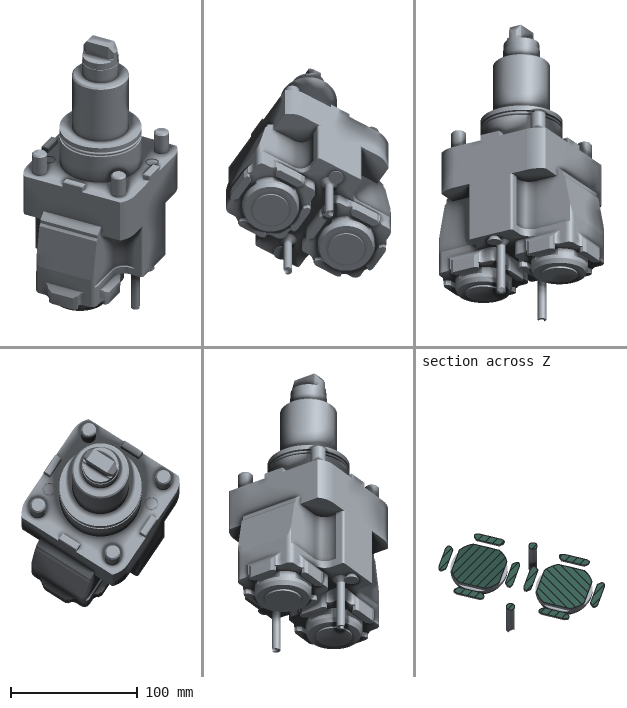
import cadquery as cq
import math


FLANGE_SIDE = 96.0
FLANGE_THICK = 35.2
FLANGE_FLAT_X = 42.5
FLANGE_FLAT_Y = 34.0
KEY_LENGTH = 17.1
KEY_DEPTH = 6.0
KEY_HEIGHT = 4.8
KEY_CHAMFER = 0.7
STUD_DIA = 12.0
STUD_HEIGHT = 17.8
STUD_CHAMFER = 1.2
STUD_SPACING_X = 70.1
STUD_SPACING_Y = 73.2
PORT_X = 36.9
PORT_Y = 17.1
PORT_OUTER_DIA = 11.0
PORT_INNER_DIA = 8.3
PORT_DEPTH = 0.7

COLLAR_DIA = 65.0
COLLAR_TOP = 31.9
RELIEF_DIA = 64.7
RELIEF_HEIGHT = 1.2
GROOVE_DIA = 60.2
GROOVE_BOTTOM = 23.8
GROOVE_TOP = 28.0
RING_OUTER_DIA = 64.7
SLEEVE_DIA = 45.0
SLEEVE_TOP = 81.0
SLEEVE_CHAMFER = 1.2

SHAFT_DIA = 29.0
SHAFT_SEAT = 9.5
SHAFT_STEP = 93.0
TIP_DIA = 28.0
TANG_BASE = 98.7
TANG_TOP = 111.0
TANG_THICK = 10.7
TANG_FLAT = 19.3
TANG_END_THICK = 5.7
TANG_END_SLOPE = 6.0
TANG_ROOT_R = 1.7

CORE_WIDTH = 40.7
CORE_FILLET = 2.1
CORE_BOTTOM = -83.2
UPPER_HALF_X = 25.5
UPPER_POCKET_Y = 28.3
UPPER_POCKET_R = 9.7
LEDGE_Z = -77.0
HOOD_TOP = -27.3
HOOD_BREAK_Y = 53.7
HOOD_BREAK_Z = -32.3
HOOD_LIP_Y = 55.5
HOOD_LIP_Z = -37.0
HOOD_BOTTOM = -70.1
SPINDLE_Y = 35.0
FOOT_HALF = 26.9
FOOT_FILLET = 5.0
FOOT_BOTTOM = -94.9
FOOT_POCKET_R = 10.2
FOOT_OUTER_Y = SPINDLE_Y + FOOT_HALF

LUG_SPAN = 131.0
LUG_REACH = LUG_SPAN / 2 - SPINDLE_Y
LUG_INNER = 24.3
LUG_BOTTOM = -99.0
LUG_ROOT_HALF = 17.5
LUG_NECK_HALF = 12.4
LUG_CHAMFER_REACH = 29.2
LUG_FACE_HALF = 9.5
LUG_INNER_SHOULDER = 27.0
LUG_ROOT_R = LUG_ROOT_HALF - LUG_NECK_HALF
LUG_ROOT_X = FOOT_HALF + LUG_ROOT_R
LUG_SLOPE = 5.5

NUT_DIA = 45.0
NUT_FLATS = 39.5
NUT_FLAT_BOTTOM = -100.0
NUT_CHAMFER_TOP = -103.2
NUT_BOTTOM = -106.8
NUT_FACE_DIA = 41.8
COLLET_DIA = 28.5
COLLET_BOTTOM = -108.2

NOZZLE_X = 31.1
NOZZLE_DIA = 7.0
NOZZLE_BOTTOM = -126.7
NOZZLE_FLARE_DIA = 14.0
NOZZLE_FLARE = 3.5
OUTLET_DIA = 4.8
BUTTON_X = 41.4
BUTTON_TOP_DIA = 7.4
BUTTON_DIA = 11.7
BUTTON_RIM = 0.7
BUTTON_HEIGHT = 4.0


def turned(points):
    """Solid of revolution about Z from (radius, z) points that start and end on the axis."""
    return cq.Workplane("XZ").polyline(points).close().revolve(360, (0, 0, 0), (0, 1, 0))


def cylinder(dia, bottom, top):
    return cq.Workplane("XY").workplane(offset=bottom).circle(dia / 2).extrude(top - bottom)


def both_ends(shape):
    """The shape together with its copy turned half a turn about Z."""
    return shape.union(shape.rotate((0, 0, 0), (0, 0, 1), 180))


def at_spindles(shape):
    """Join the two copies of a shape moved from the origin to the spindle axes."""
    return shape.translate((0, SPINDLE_Y, 0)).union(shape.translate((0, -SPINDLE_Y, 0)))


def make_flange():
    half = FLANGE_SIDE / 2
    rise = half - FLANGE_FLAT_Y
    inset = half - FLANGE_FLAT_X
    radius = (rise**2 + inset**2) / (2 * inset)
    stock = cq.Workplane("XY").box(FLANGE_SIDE, FLANGE_SIDE, FLANGE_THICK, centered=(True, True, False))
    flange = stock.translate((0, 0, -FLANGE_THICK))
    arc_middle = math.asin(rise / radius) / 2
    middle_x = half - radius + radius * math.cos(arc_middle)
    middle_y = FLANGE_FLAT_Y + radius * math.sin(arc_middle)
    for sx in (-1, 1):
        for sy in (-1, 1):
            corner = (
                cq.Workplane("XY")
                .moveTo(sx * half, sy * FLANGE_FLAT_Y)
                .threePointArc((sx * middle_x, sy * middle_y), (sx * FLANGE_FLAT_X, sy * half))
                .lineTo(sx * half, sy * half)
                .close()
                .extrude(-FLANGE_THICK)
            )
            flange = flange.cut(corner)
    return flange


def make_keys():
    key = (
        cq.Workplane("XY")
        .box(KEY_DEPTH, KEY_LENGTH, KEY_HEIGHT, centered=(True, True, False))
        .faces(">Z")
        .chamfer(KEY_CHAMFER)
        .translate(((FLANGE_SIDE - KEY_DEPTH) / 2, 0, 0))
    )
    keys = both_ends(key)
    return keys.union(keys.rotate((0, 0, 0), (0, 0, 1), 90))


def make_studs():
    return (
        cq.Workplane("XY")
        .rect(STUD_SPACING_X, STUD_SPACING_Y, forConstruction=True)
        .vertices()
        .circle(STUD_DIA / 2)
        .extrude(STUD_HEIGHT)
        .faces(">Z")
        .chamfer(STUD_CHAMFER)
    )


def make_port_grooves():
    return (
        cq.Workplane("XY")
        .pushPoints([(PORT_X, PORT_Y), (-PORT_X, -PORT_Y)])
        .circle(PORT_OUTER_DIA / 2)
        .circle(PORT_INNER_DIA / 2)
        .extrude(-PORT_DEPTH)
    )


def make_shank():
    return turned([
        (0, 0),
        (RELIEF_DIA / 2, 0),
        (RELIEF_DIA / 2, RELIEF_HEIGHT),
        (COLLAR_DIA / 2, RELIEF_HEIGHT),
        (COLLAR_DIA / 2, GROOVE_BOTTOM),
        (GROOVE_DIA / 2, GROOVE_BOTTOM),
        (GROOVE_DIA / 2, GROOVE_TOP),
        (COLLAR_DIA / 2, GROOVE_TOP),
        (COLLAR_DIA / 2, COLLAR_TOP),
        (SLEEVE_DIA / 2, COLLAR_TOP),
        (SLEEVE_DIA / 2, SLEEVE_TOP - SLEEVE_CHAMFER),
        (SLEEVE_DIA / 2 - SLEEVE_CHAMFER, SLEEVE_TOP),
        (0, SLEEVE_TOP),
    ])


def body_layer(half_x, pocket_y, pocket_r, bottom, top):
    """Layer of the lower body: the core block, the spindle housings and the round pockets between.

    Each pocket is tangent to the housing side at x = half_x, y = pocket_y.
    """
    core = (
        cq.Workplane("XY")
        .workplane(offset=bottom)
        .rect(FLANGE_SIDE, CORE_WIDTH)
        .extrude(top - bottom)
        .edges("|Z")
        .fillet(CORE_FILLET)
    )
    arm = cq.Workplane("XY").workplane(offset=bottom).rect(2 * half_x, 2 * FOOT_OUTER_Y).extrude(top - bottom)
    pocket_x = half_x + pocket_r
    web = (
        cq.Workplane("XY")
        .workplane(offset=bottom)
        .rect(2 * pocket_x, 2 * pocket_y)
        .extrude(top - bottom)
    )
    pockets = (
        cq.Workplane("XY")
        .workplane(offset=bottom)
        .rect(2 * pocket_x, 2 * pocket_y, forConstruction=True)
        .vertices()
        .circle(pocket_r)
        .extrude(top - bottom)
    )
    return core.union(arm).union(web).cut(pockets).intersect(end_rounding(bottom, top))


def foot_column():
    """Square column around one spindle below the core, with rounded corners."""
    return (
        cq.Workplane("XY")
        .workplane(offset=FOOT_BOTTOM)
        .rect(2 * FOOT_HALF, 2 * FOOT_HALF)
        .extrude(CORE_BOTTOM - FOOT_BOTTOM)
        .edges("|Z")
        .fillet(FOOT_FILLET)
    )


def end_rounding(bottom, top):
    """Envelope that rounds the outer corners of the spindle housings like those of the feet."""
    middle = cq.Workplane("XY").workplane(offset=bottom).rect(FLANGE_SIDE, 2 * SPINDLE_Y).extrude(top - bottom)
    ends = (
        cq.Workplane("XY")
        .workplane(offset=bottom)
        .rect(2 * FOOT_HALF, 2 * FOOT_OUTER_Y)
        .extrude(top - bottom)
        .edges("|Z")
        .fillet(FOOT_FILLET)
    )
    return middle.union(ends)


def make_upper_body():
    """Spindle housings above the ledge, with the sloped outer faces and the stepped top edge."""
    half = FLANGE_SIDE / 2
    side = [
        (half, HOOD_TOP),
        (HOOD_BREAK_Y, HOOD_BREAK_Z),
        (HOOD_BREAK_Y, -FLANGE_THICK),
        (HOOD_LIP_Y, HOOD_LIP_Z),
        (FOOT_OUTER_Y, HOOD_BOTTOM),
        (FOOT_OUTER_Y, LEDGE_Z),
    ]
    mirrored = [(-y, z) for y, z in reversed(side)]
    slopes = cq.Workplane("YZ").polyline(side + mirrored).close().extrude(half, both=True)
    layer = body_layer(UPPER_HALF_X, UPPER_POCKET_Y, UPPER_POCKET_R, LEDGE_Z, HOOD_TOP)
    return layer.intersect(slopes)


def make_lower_body():
    """Layer between the ledge and the underside of the core, and the feet below it."""
    layer = body_layer(FOOT_HALF, CORE_WIDTH / 2 + FOOT_POCKET_R, FOOT_POCKET_R, CORE_BOTTOM, LEDGE_Z)
    feet = at_spindles(foot_column())
    return layer.union(feet)


def lug_bar():
    """Bar with chamfered corners, on the +X side of a spindle axis at the origin."""
    return (
        cq.Workplane("XY")
        .workplane(offset=LUG_BOTTOM)
        .moveTo(LUG_INNER, -LUG_FACE_HALF)
        .lineTo(LUG_INNER_SHOULDER, -LUG_NECK_HALF)
        .lineTo(LUG_CHAMFER_REACH, -LUG_NECK_HALF)
        .lineTo(LUG_REACH, -LUG_FACE_HALF)
        .lineTo(LUG_REACH, LUG_FACE_HALF)
        .lineTo(LUG_CHAMFER_REACH, LUG_NECK_HALF)
        .lineTo(LUG_INNER_SHOULDER, LUG_NECK_HALF)
        .lineTo(LUG_INNER, LUG_FACE_HALF)
        .close()
        .extrude(CORE_BOTTOM - LUG_BOTTOM)
    )


def lug_root():
    """Widening of the lug where it joins the foot."""
    length = LUG_CHAMFER_REACH - LUG_INNER
    height = CORE_BOTTOM - FOOT_BOTTOM
    return (
        cq.Workplane("XY")
        .box(length, 2 * LUG_ROOT_HALF, height, centered=(False, True, False))
        .translate((LUG_INNER, 0, FOOT_BOTTOM))
    )


def lug_hollows():
    return (
        cq.Workplane("XY")
        .workplane(offset=LUG_BOTTOM)
        .pushPoints([(LUG_ROOT_X, LUG_ROOT_HALF), (LUG_ROOT_X, -LUG_ROOT_HALF)])
        .circle(LUG_ROOT_R)
        .extrude(CORE_BOTTOM - LUG_BOTTOM)
    )


def make_lugs():
    """Four lugs on each foot, with a sloped top and hollow sides that run into the foot."""
    slope = (
        cq.Workplane("XZ")
        .moveTo(FOOT_HALF, CORE_BOTTOM)
        .lineTo(LUG_REACH, CORE_BOTTOM)
        .lineTo(LUG_REACH, CORE_BOTTOM - LUG_SLOPE)
        .close()
        .extrude(LUG_ROOT_HALF, both=True)
    )
    lugs = both_ends(lug_bar().union(lug_root()).cut(lug_hollows()).cut(slope))
    return at_spindles(lugs.union(lugs.rotate((0, 0, 0), (0, 0, 1), 90)))


def make_nozzles():
    radius = NOZZLE_DIA / 2
    nozzle = turned([
        (0, CORE_BOTTOM),
        (NOZZLE_FLARE_DIA / 2, CORE_BOTTOM),
        (radius, CORE_BOTTOM - NOZZLE_FLARE),
        (radius, NOZZLE_BOTTOM),
        (0, NOZZLE_BOTTOM),
    ])
    rim = radius / math.sqrt(2)
    start = cq.Plane(origin=(rim, rim, NOZZLE_BOTTOM), normal=(-1, -1, 1))
    outlet = cq.Workplane(start).circle(OUTLET_DIA / 2).extrude(OUTLET_DIA, both=True)
    return both_ends(nozzle.cut(outlet).translate((NOZZLE_X, 0, 0)))


def make_buttons():
    bottom = CORE_BOTTOM - BUTTON_HEIGHT
    button = turned([
        (0, CORE_BOTTOM),
        (BUTTON_TOP_DIA / 2, CORE_BOTTOM),
        (BUTTON_DIA / 2, bottom + BUTTON_RIM),
        (BUTTON_DIA / 2, bottom),
        (0, bottom),
    ])
    return both_ends(button.translate((BUTTON_X, 0, 0)))


def make_housing():
    housing = make_flange().union(make_keys()).union(make_studs()).union(make_shank())
    housing = housing.union(make_upper_body()).union(make_lower_body()).union(make_lugs())
    housing = housing.union(make_nozzles()).union(make_buttons())
    shaft_hole = cylinder(SHAFT_DIA, SLEEVE_TOP - SHAFT_SEAT, SLEEVE_TOP)
    spindle_holes = at_spindles(cylinder(NUT_DIA, FOOT_BOTTOM, CORE_BOTTOM))
    return housing.cut(make_port_grooves()).cut(shaft_hole).cut(spindle_holes)


def make_seal_ring():
    section = (RING_OUTER_DIA - GROOVE_DIA) / 4
    ring = cq.Solid.makeTorus(GROOVE_DIA / 2 + section, section)
    return cq.Workplane(ring.translate(cq.Vector(0, 0, (GROOVE_BOTTOM + GROOVE_TOP) / 2)))


def make_tang():
    """Flat driving tongue with angled ends and a filleted root."""
    height = TANG_TOP - TANG_BASE
    plan = [
        (TIP_DIA / 2, TANG_END_THICK / 2),
        (TANG_FLAT / 2, TANG_THICK / 2),
        (-TANG_FLAT / 2, TANG_THICK / 2),
        (-TIP_DIA / 2, TANG_END_THICK / 2),
    ]
    plan += [(-x, -y) for x, y in plan]
    bar = cq.Workplane("XY").workplane(offset=TANG_BASE).polyline(plan).close().extrude(height)
    root_half = TANG_THICK / 2
    root = (
        cq.Workplane("YZ")
        .moveTo(-root_half - TANG_ROOT_R, TANG_BASE)
        .radiusArc((-root_half, TANG_BASE + TANG_ROOT_R), -TANG_ROOT_R)
        .lineTo(root_half, TANG_BASE + TANG_ROOT_R)
        .radiusArc((root_half + TANG_ROOT_R, TANG_BASE), -TANG_ROOT_R)
        .close()
        .extrude(TIP_DIA / 2, both=True)
    )
    bar = bar.union(root)
    front = [
        (TIP_DIA / 2, TANG_BASE),
        (TIP_DIA / 2, TANG_TOP - TANG_END_SLOPE),
        (TANG_FLAT / 2, TANG_TOP),
    ]
    front += [(-x, z) for x, z in reversed(front)]
    ends = cq.Workplane("XZ").polyline(front).close().extrude(TANG_THICK, both=True)
    return bar.intersect(ends)


def make_shaft():
    journal = cylinder(SHAFT_DIA, SLEEVE_TOP - SHAFT_SEAT, SHAFT_STEP)
    tip = cylinder(TIP_DIA, SHAFT_STEP, TANG_TOP)
    tang = make_tang().union(cylinder(TIP_DIA, SHAFT_STEP, TANG_BASE))
    return journal.union(tang.intersect(tip))


def make_spindle(y):
    spindle = turned([
        (0, CORE_BOTTOM),
        (NUT_DIA / 2, CORE_BOTTOM),
        (NUT_DIA / 2, NUT_CHAMFER_TOP),
        (NUT_FACE_DIA / 2, NUT_BOTTOM),
        (COLLET_DIA / 2, NUT_BOTTOM),
        (COLLET_DIA / 2, COLLET_BOTTOM),
        (0, COLLET_BOTTOM),
    ])
    flat_height = FOOT_BOTTOM - NUT_FLAT_BOTTOM
    flats = (
        cq.Workplane("XY")
        .workplane(offset=NUT_FLAT_BOTTOM)
        .rect(NUT_DIA, NUT_DIA)
        .rect(NUT_FLATS, NUT_FLATS)
        .extrude(flat_height)
    )
    return spindle.cut(flats).translate((0, y, 0))


housing = make_housing()
seal_ring = make_seal_ring()
shaft = make_shaft()
spindles = [make_spindle(y) for y in (-SPINDLE_Y, SPINDLE_Y)]

result = cq.Compound.makeCompound(
    [housing.val(), seal_ring.val(), shaft.val(), *[spindle.val() for spindle in spindles]]
)